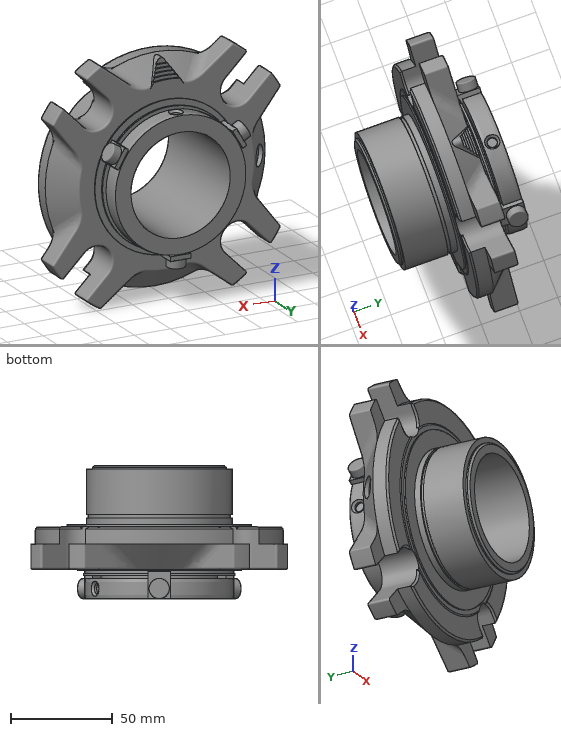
import cadquery as cq
import math

NOSE_Y = 1.8
GROOVE_Y = 24.1
GROOVE_WIDTH = 1.6
PILOT_Y = 29.0
RIM_Y = 30.2
LUG_Y = 38.5
GLAND_BACK_Y = 51.0
COVER_BACK_Y = 51.6
SHOULDER_BACK_Y = 52.9
PLATE_BACK_Y = 54.0
COLLAR_Y = 55.5
BACK_Y = 65.4

BORE_D = 55.0
SHAFT_SLEEVE_D = 57.2
NOSE_D = 65.9
GROOVE_D = 70.0
SLEEVE_D = 71.7
COLLAR_D = 73.1
PLATE_D = 74.6
COVER_D = 80.5
PILOT_D = 90.5
REGISTER_D = 97.0
RIM_D = 122.0
NOSE_CHAMFER = 1.0
REGISTER_CHAMFER_AXIAL = 0.4
REGISTER_CHAMFER_RADIAL = 0.8
COLLAR_CHAMFER_AXIAL = 1.6
COLLAR_CHAMFER_RADIAL = 0.4
RIM_CHAMFER = 1.0

LUG_TIP_R = 73.1
LUG_CORNER_X = 36.6
FLANK_ANGLE = 37.5
FLANK_FILLET = 6.5
LUG_CORNER_FILLET = 1.0
GLAND_BACK_FILLET = 1.0
SLOT_WIDTH = 18.2
SLOT_CENTER_R = 55.4
SLOT_COUNT = 4
FIRST_SLOT_ANGLE = 45
QUARTER_TURN = 90

PORT_D = 11.2
PORT_DEPTH = 2.3
PORT_Y = 45.2

RIDGE_CREST_R = 2.21
RIDGE_CREST_Z = 59.8
RIDGE_FOOT_Z = 45.5
RIDGE_WALL_ANGLE = 32.0
RIDGE_END_Y = 44.7
RIDGE_STEP_COUNT = 5
RIDGE_STEP_R = 57.0
RIDGE_STEP_DROP = 1.6

CLIP_ANGLES = (30, 150, 270)
CLIP_WIDTH = 11.2
CLIP_THICKNESS = 2.5
CLIP_Y = 51.9
CLIP_HOOK_DEPTH = 1.9
SCREW_HEAD_D = 10.0
SCREW_HEAD_HEIGHT = 4.7
SCREW_EDGE = 0.5

SET_SCREW_ANGLES = (90, 180, 210)
SET_SCREW_D = 5.0
SET_SCREW_MOUTH_D = 7.6
SET_SCREW_DEPTH = 2.5
SET_SCREW_Y = (COLLAR_Y + BACK_Y) / 2


def ring(diameter, y_start, y_end):
    """Solid disc about the Y axis between two stations."""
    plane = cq.Workplane("XZ", origin=(0, y_start, 0))
    return plane.circle(diameter / 2).extrude(y_start - y_end)


def turned(points):
    """Solid of revolution about the Y axis from (radius, y) points."""
    return cq.Workplane("XY").polyline(points).close().revolve(360, (0, 0, 0), (0, 1, 0))


def about_axis(shape, angle):
    """Turn a shape made on +X to the given angle, counted from +X towards +Z."""
    return shape.rotate((0, 0, 0), (0, 1, 0), -angle)


def slots():
    """Four round-ended bolt slots, open at the outside."""
    length = LUG_TIP_R
    plane = cq.Workplane("XZ", origin=(0, PILOT_Y, 0))
    channel = plane.center(SLOT_CENTER_R + length / 2, 0).rect(length, SLOT_WIDTH).extrude(PILOT_Y - BACK_Y)
    plane = cq.Workplane("XZ", origin=(0, PILOT_Y, 0))
    root = plane.center(SLOT_CENTER_R, 0).circle(SLOT_WIDTH / 2).extrude(PILOT_Y - BACK_Y)
    slot = channel.union(root)
    cutter = about_axis(slot, FIRST_SLOT_ANGLE)
    for turn in range(1, SLOT_COUNT):
        cutter = cutter.union(about_axis(slot, FIRST_SLOT_ANGLE + turn * QUARTER_TURN))
    return cutter


def gap_between_lugs():
    """Wedge removed between two lug pairs: flat flanks blended into a 45 degree cone."""
    corner_r = math.sqrt(LUG_TIP_R**2 - LUG_CORNER_X**2)
    slope = math.tan(math.radians(FLANK_ANGLE))
    apex_r = corner_r - LUG_CORNER_X * slope
    outer_r = LUG_TIP_R * 1.2
    half_width = (outer_r - apex_r) / slope
    wedge = (
        cq.Workplane("XZ", origin=(0, LUG_Y, 0))
        .polyline([(0, apex_r), (half_width, outer_r), (-half_width, outer_r)])
        .close()
        .extrude(LUG_Y - GLAND_BACK_Y)
    )
    back_r = RIM_D / 2 - (GLAND_BACK_Y - LUG_Y)
    cone = turned([(0, LUG_Y), (RIM_D / 2, LUG_Y), (back_r, GLAND_BACK_Y), (0, GLAND_BACK_Y)])
    gap = wedge.cut(cone)
    low_corner = (-LUG_CORNER_X, LUG_Y + 1.3, 0)
    high_corner = (LUG_CORNER_X, GLAND_BACK_Y - 1.3, RIM_D / 2)
    blend_edges = gap.edges(cq.selectors.BoxSelector(low_corner, high_corner))
    return blend_edges.fillet(FLANK_FILLET)


def lug_disc(slot_cutter):
    """Back part of the gland: lugs with rounded corners and a rounded back outline."""
    disc = ring(2 * LUG_TIP_R, LUG_Y, GLAND_BACK_Y)
    gap = gap_between_lugs()
    for turn in range(SLOT_COUNT):
        disc = disc.cut(about_axis(gap, turn * QUARTER_TURN))
    disc = disc.cut(slot_cutter)
    tip_corners = disc.edges("|Y").filter(
        lambda edge: math.hypot(edge.Center().x, edge.Center().z) > RIM_D / 2 + 1.3
    )
    disc = tip_corners.fillet(LUG_CORNER_FILLET)
    return disc.faces(">Y").edges().fillet(GLAND_BACK_FILLET)


def rim(slot_cutter):
    """Front part of the gland: chamfered rim with a low register inside it."""
    plate = ring(RIM_D, RIM_Y, LUG_Y).cut(slot_cutter)
    plate = plate.faces("<Y").edges().chamfer(RIM_CHAMFER)
    register_y = RIM_Y - REGISTER_CHAMFER_AXIAL
    register_r = REGISTER_D / 2
    register = turned([
        (0, register_y),
        (register_r - REGISTER_CHAMFER_RADIAL, register_y),
        (register_r, RIM_Y),
        (register_r, LUG_Y),
        (0, LUG_Y),
    ])
    return plate.union(register.cut(slot_cutter))


def sleeve():
    """Front sleeve with a shallow groove and a chamfered nose."""
    body = ring(SLEEVE_D, NOSE_Y, PILOT_Y)
    groove_end = GROOVE_Y + GROOVE_WIDTH
    groove = ring(SLEEVE_D + 1.3, GROOVE_Y, groove_end).cut(ring(GROOVE_D, GROOVE_Y, groove_end))
    nose = ring(NOSE_D, 0, NOSE_Y).faces("<Y").edges().chamfer(NOSE_CHAMFER)
    return body.cut(groove).union(nose)


def collar():
    """Drive collar with countersunk radial set-screw holes."""
    outer_r = COLLAR_D / 2
    face_r = outer_r - COLLAR_CHAMFER_RADIAL
    body = turned([
        (0, COLLAR_Y),
        (face_r, COLLAR_Y),
        (outer_r, COLLAR_Y + COLLAR_CHAMFER_AXIAL),
        (outer_r, BACK_Y - COLLAR_CHAMFER_AXIAL),
        (face_r, BACK_Y),
        (0, BACK_Y),
    ])
    countersink = (SET_SCREW_MOUTH_D - SET_SCREW_D) / 2
    hole = (
        cq.Workplane("YZ", origin=(outer_r - SET_SCREW_DEPTH, SET_SCREW_Y, 0))
        .circle(SET_SCREW_D / 2)
        .extrude(SET_SCREW_DEPTH + 1.3)
    )
    mouth = (
        cq.Workplane("YZ", origin=(outer_r - countersink, SET_SCREW_Y, 0))
        .circle(SET_SCREW_D / 2)
        .workplane(offset=countersink)
        .circle(SET_SCREW_MOUTH_D / 2)
        .loft()
    )
    for angle in SET_SCREW_ANGLES:
        body = body.cut(about_axis(hole.union(mouth), angle))
    return body


def clip():
    """Setting clip on +X: flat bar, hook in front of the collar, and cap screw head."""
    inner_x = COLLAR_D / 2
    corner_based = (False, False, True)
    bar = cq.Workplane("XY").box(CLIP_THICKNESS, BACK_Y - CLIP_Y, CLIP_WIDTH, centered=corner_based)
    bar = bar.translate((inner_x, CLIP_Y, 0))
    hook_length = COLLAR_Y - PLATE_BACK_Y
    hook = cq.Workplane("XY").box(CLIP_HOOK_DEPTH, hook_length, CLIP_WIDTH, centered=corner_based)
    hook = hook.translate((inner_x - CLIP_HOOK_DEPTH, PLATE_BACK_Y, 0))
    head = (
        cq.Workplane("YZ", origin=(inner_x, BACK_Y - SCREW_HEAD_D / 2, 0))
        .circle(SCREW_HEAD_D / 2)
        .extrude(CLIP_THICKNESS + SCREW_HEAD_HEIGHT)
        .faces(">X")
        .edges()
        .fillet(SCREW_EDGE)
    )
    return bar.union(hook).union(head)


def port():
    """Blind port on the -X side, square to the cone."""
    mouth_x = RIM_D / 2 - (PORT_Y - LUG_Y)
    plane = cq.Plane(origin=(-mouth_x, PORT_Y, 0), xDir=(0, 0, 1), normal=(-1, 1, 0))
    return cq.Workplane(plane).workplane(offset=-PORT_DEPTH).circle(PORT_D / 2).extrude(2 * PORT_DEPTH)


def ridge():
    """Ridge with sloping walls and a round crest, cut back in even steps behind its full height."""
    lean = math.radians(RIDGE_WALL_ANGLE)
    crest_center_z = RIDGE_CREST_Z - RIDGE_CREST_R
    shoulder_x = RIDGE_CREST_R * math.cos(lean)
    shoulder_z = crest_center_z + RIDGE_CREST_R * math.sin(lean)
    foot_x = shoulder_x + (shoulder_z - RIDGE_FOOT_Z) * math.tan(lean)
    bar = (
        cq.Workplane("XZ", origin=(0, LUG_Y, 0))
        .moveTo(-foot_x, RIDGE_FOOT_Z)
        .lineTo(-shoulder_x, shoulder_z)
        .threePointArc((0, RIDGE_CREST_Z), (shoulder_x, shoulder_z))
        .lineTo(foot_x, RIDGE_FOOT_Z)
        .close()
        .extrude(LUG_Y - GLAND_BACK_Y)
    )
    stepped_disc = ring(RIM_D, LUG_Y, RIDGE_END_Y)
    step_length = (GLAND_BACK_Y - RIDGE_END_Y) / RIDGE_STEP_COUNT
    for step in range(RIDGE_STEP_COUNT):
        step_y = RIDGE_END_Y + step * step_length
        step_r = RIDGE_STEP_R - step * RIDGE_STEP_DROP
        stepped_disc = stepped_disc.union(ring(2 * step_r, step_y, step_y + step_length))
    return bar.intersect(stepped_disc)


slot_cutter = slots()
gland = lug_disc(slot_cutter).union(rim(slot_cutter)).union(ridge()).cut(port())

result = (
    gland.union(sleeve())
    .union(ring(PILOT_D, PILOT_Y, RIM_Y))
    .union(ring(COVER_D, GLAND_BACK_Y, COVER_BACK_Y))
    .union(ring(COLLAR_D, COVER_BACK_Y, SHOULDER_BACK_Y))
    .union(ring(PLATE_D, SHOULDER_BACK_Y, PLATE_BACK_Y))
    .union(ring(SHAFT_SLEEVE_D, PLATE_BACK_Y, COLLAR_Y))
    .union(collar())
)
for clip_angle in CLIP_ANGLES:
    result = result.union(about_axis(clip(), clip_angle))
result = result.cut(ring(BORE_D, 0, BACK_Y))